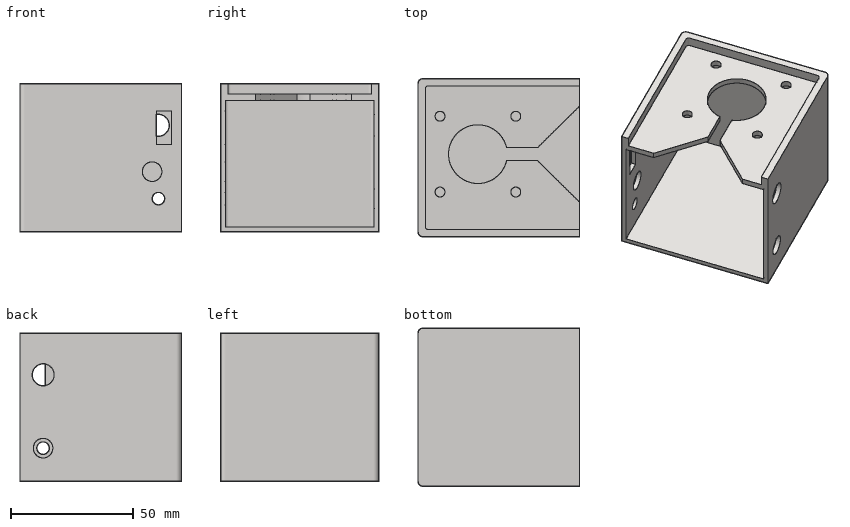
import cadquery as cq
length = 66.0
width = 64.7
height = 60.5
wall = 2.0
rim_wall = 3.0
outer_corner_radius = 2.05
inner_corner_radius = 1.25

floor_thickness = 2.0
rim_height = 4.3
shelf_thickness = 2.5
shelf_top = height - rim_height
shelf_bottom = shelf_top - shelf_thickness

motor_x = 24.5
motor_y = 1.45
bore_diameter = 24.0
bolt_spacing = 30.95
bolt_diameter = 4.0
neck_width = 5.3
notch_start_x = 48.85
notch_mouth_width = 39.2

slot_width = 6.3
slot_height = 13.65
slot_x = 58.9
slot_z = 42.5
large_hole_diameter = 8.0
large_hole_x = 54.0
large_hole_z = 24.55
small_hole_diameter = 5.0
small_hole_x = 56.55
small_hole_z = 13.5

upper_rear_hole_diameter = 8.9
upper_rear_hole_x = 56.5
upper_rear_hole_z = 43.5
lower_rear_hole_diameter = 8.0


def rounded_block(start_x, block_width, bottom, top, corner_radius):
    """Block reaching the open side, with its two closed-side corners rounded."""
    block_length = length - start_x
    return (
        cq.Workplane("XY", origin=(start_x + block_length / 2, 0, bottom))
        .box(block_length, block_width, top - bottom, centered=(True, True, False))
        .edges("|Z and <X")
        .fillet(corner_radius)
    )


def cavity(bottom, top, side):
    """Inside space between two heights, walled by the given thickness and open toward +X."""
    return rounded_block(side, width - 2 * side, bottom, top, inner_corner_radius)


def side_cylinder(x, z, diameter, start_y, depth):
    """Cylinder along +Y that starts at start_y."""
    return cq.Workplane(
        cq.Solid.makeCylinder(diameter / 2, depth, cq.Vector(x, start_y, z), cq.Vector(0, 1, 0))
    )


def shelf_cutout():
    """Motor bore, its neck and flared mouth, and the four bolt holes."""
    plane = cq.Workplane("XY", origin=(motor_x, motor_y, shelf_bottom))
    bore = plane.circle(bore_diameter / 2).extrude(shelf_thickness)
    neck_end = notch_start_x - motor_x
    mouth_end = length - motor_x
    entry = (
        plane.moveTo(0, -neck_width / 2)
        .lineTo(neck_end, -neck_width / 2)
        .lineTo(mouth_end, -notch_mouth_width / 2)
        .lineTo(mouth_end, notch_mouth_width / 2)
        .lineTo(neck_end, neck_width / 2)
        .lineTo(0, neck_width / 2)
        .close()
        .extrude(shelf_thickness)
    )
    bolts = plane.rect(bolt_spacing, bolt_spacing, forConstruction=True).vertices()
    bolt_holes = bolts.circle(bolt_diameter / 2).extrude(shelf_thickness)
    return bore.union(entry).union(bolt_holes)


body = rounded_block(0, width, 0, height, outer_corner_radius)
body = body.cut(cavity(floor_thickness, shelf_bottom, wall))
body = body.cut(cavity(shelf_top, height, rim_wall))
body = body.cut(shelf_cutout())

front_y = -width / 2
slot = cq.Workplane("XY", origin=(slot_x, front_y + wall / 2, slot_z)).box(slot_width, wall, slot_height)
body = body.cut(slot)
body = body.cut(side_cylinder(large_hole_x, large_hole_z, large_hole_diameter, front_y, wall))
body = body.cut(side_cylinder(small_hole_x, small_hole_z, small_hole_diameter, front_y, wall))

rear_y = width / 2 - wall
body = body.cut(side_cylinder(upper_rear_hole_x, upper_rear_hole_z, upper_rear_hole_diameter, rear_y, wall))
body = body.cut(side_cylinder(small_hole_x, small_hole_z, lower_rear_hole_diameter, rear_y, wall))

result = body